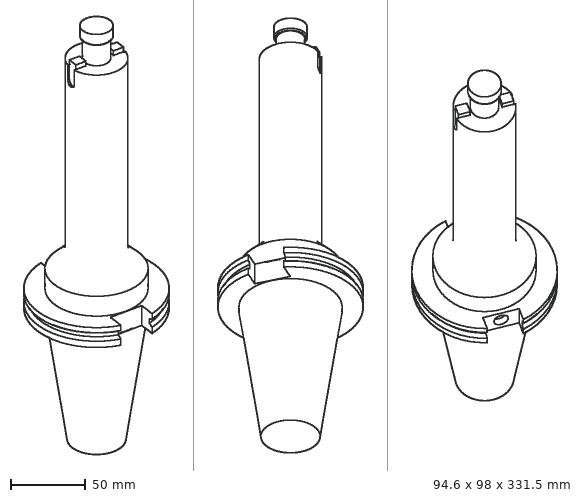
import cadquery as cq
import math

total_height = 331.5
gauge_radius = 34.8
taper_height = 101.5
taper_slope = 7 / 24 / 2
taper_end_radius = gauge_radius - taper_height * taper_slope

flange_radius = 49.0
flange_bottom = 104.8
flange_top = 120.7
groove_center = 113.0
groove_mouth_width = 6.5
groove_depth = 3.0
groove_flank_angle = math.radians(30)
groove_floor_width = groove_mouth_width - 2 * groove_depth * math.tan(groove_flank_angle)
slot_width = 25.5
left_slot_floor = 37.8
right_slot_floor = 35.0
dimple_radius = 5.0
dimple_depth = 5.0

collar_top = 136.5
shaft_radius = 21.2
shaft_top = 305.5
shoulder_fillet = 10.0

pilot_radius = 9.5
head_radius = 11.3
head_height = 9.3
head_chamfer = 1.0
pilot_top = total_height - head_height

key_width = 7.5
key_inner = 11.3
key_outer = 19.5
key_bottom = 290.2
key_top = 309.0


def holder_body():
    """Taper, flange, collar, shaft and pilot, turned about Z."""
    groove_radius = flange_radius - groove_depth
    shoulder_top = collar_top + gauge_radius - shaft_radius
    diagonal = math.sqrt(0.5)
    half_turn = math.radians(45) / 2
    tangent_length = shoulder_fillet * math.tan(half_turn)
    arc_start = (shaft_radius + tangent_length * diagonal, shoulder_top - tangent_length * diagonal)
    arc_end = (shaft_radius, shoulder_top + tangent_length)
    arc_middle = (
        shaft_radius + shoulder_fillet * (1 - math.cos(half_turn)),
        arc_end[1] - shoulder_fillet * math.sin(half_turn),
    )
    return (
        cq.Workplane("XZ")
        .moveTo(0, 0)
        .lineTo(taper_end_radius, 0)
        .lineTo(gauge_radius, taper_height)
        .lineTo(gauge_radius, flange_bottom)
        .lineTo(flange_radius, flange_bottom)
        .lineTo(flange_radius, groove_center - groove_mouth_width / 2)
        .lineTo(groove_radius, groove_center - groove_floor_width / 2)
        .lineTo(groove_radius, groove_center + groove_floor_width / 2)
        .lineTo(flange_radius, groove_center + groove_mouth_width / 2)
        .lineTo(flange_radius, flange_top)
        .lineTo(gauge_radius, flange_top)
        .lineTo(gauge_radius, collar_top)
        .lineTo(*arc_start)
        .threePointArc(arc_middle, arc_end)
        .lineTo(shaft_radius, shaft_top)
        .lineTo(pilot_radius, shaft_top)
        .lineTo(pilot_radius, pilot_top)
        .lineTo(0, pilot_top)
        .close()
        .revolve(360, (0, 0, 0), (0, 1, 0))
    )


def flange_slot(floor, side):
    """Cutter for a drive slot; side is -1 for -X and +1 for +X."""
    return (
        cq.Workplane("XY", origin=(0, 0, flange_bottom))
        .center(side * (floor + flange_radius / 2), 0)
        .rect(flange_radius, slot_width)
        .extrude(flange_top - flange_bottom)
    )


def slot_dimple():
    """Cutter for the blind hole in the floor of the -X slot."""
    return (
        cq.Workplane("YZ", origin=(-left_slot_floor, 0, groove_center))
        .circle(dimple_radius)
        .extrude(dimple_depth)
    )


def round_ended_bar(inner, outer, side):
    """Upright bar with a round lower end, from inner to outer along side * Y."""
    half_width = key_width / 2
    arc_height = key_bottom + half_width
    return (
        cq.Workplane("XZ", origin=(0, side * inner, 0))
        .moveTo(-half_width, key_top)
        .lineTo(-half_width, arc_height)
        .threePointArc((0, key_bottom), (half_width, arc_height))
        .lineTo(half_width, key_top)
        .close()
        .extrude(-side * (outer - inner))
    )


def drive_key(side):
    """Key seated in the shaft, standing proud of the shaft top."""
    return round_ended_bar(key_inner, key_outer, side)


def keyway(side):
    """Cutter for the key seat, open through the shaft wall."""
    return round_ended_bar(key_inner, 2 * shaft_radius, side)


def lock_screw_head():
    """Round head resting on the pilot, chamfered underneath."""
    return (
        cq.Workplane("XY", origin=(0, 0, pilot_top))
        .circle(head_radius)
        .extrude(head_height)
        .faces("<Z")
        .chamfer(head_chamfer)
    )


key_sides = (-1, 1)

holder = holder_body()
holder = holder.cut(flange_slot(left_slot_floor, -1))
holder = holder.cut(flange_slot(right_slot_floor, 1))
holder = holder.cut(slot_dimple())
for key_side in key_sides:
    holder = holder.cut(keyway(key_side))

keys = [drive_key(key_side) for key_side in key_sides]
lock_screw = lock_screw_head()

result = cq.Compound.makeCompound([holder.val(), *[key.val() for key in keys], lock_screw.val()])